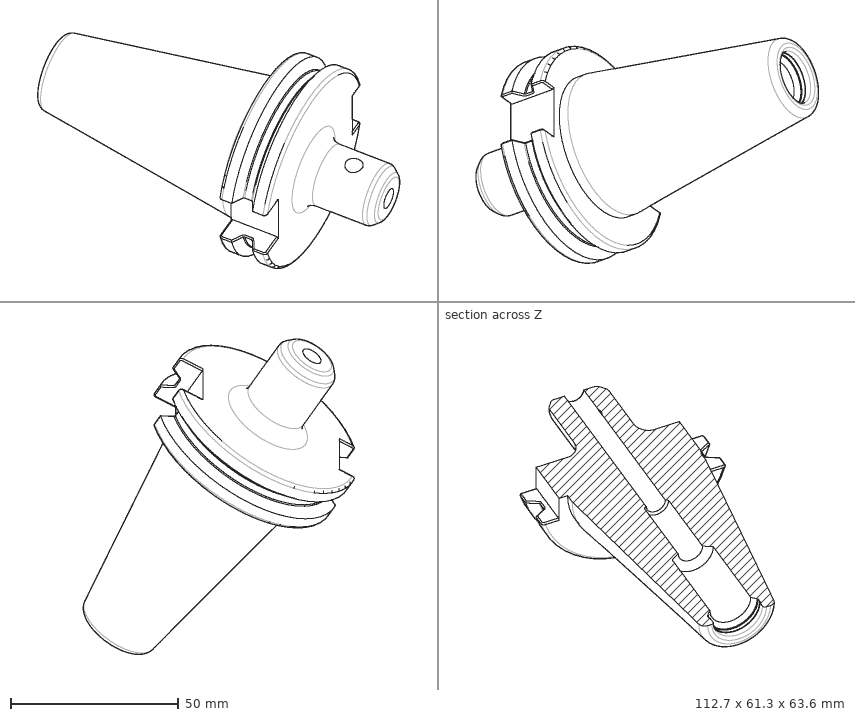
import cadquery as cq
import math

total_length = 112.7

gauge_diameter = 44.4
taper_length = 68.3
taper_rate = 7 / 24
nose_fillet = 2.1
small_radius = (gauge_diameter - taper_length * taper_rate) / 2

flange_diameter = 63.6
flange_front = 71.5
flange_back = 87.3
flange_fillet = 1.0
groove_center = 79.3
groove_mouth_width = 7.0
groove_depth = 3.6
groove_wall_angle = 30.0
groove_corner_fillet = 0.5

slot_width = 16.1
left_slot_floor = 25.0
right_slot_floor = 22.7
slot_edge_chamfer = 0.51

shank_diameter = 19.8
neck_fillet = 5.0
neck_end = 92.2
shank_cone_start = 109.8
shank_cone_end_radius = 7.5
shank_shoulder_fillet = 2.0
shank_end_fillet = 1.6

pilot_diameter = 16.3
mouth_fillet = 0.9
relief_diameter = 16.8
relief_start = 2.9
relief_end = 4.3
pilot_depth = 4.5
thread_diameter = 13.5
thread_start = 6.0
thread_depth = 31.5
passage_diameter = 8.0
passage_depth = 56.4
outlet_diameter = 6.3
drill_point_angle = 118.0

cross_hole_diameter = 5.4
cross_hole_x = 101.4
cross_hole_y = -0.8


def round_edges_at(body, radius, *stations):
    """Fillet the circular edges of a turned body at given (x, radius) stations."""
    for x, edge_radius in stations:
        tolerance = 0.02
        box = cq.selectors.BoxSelector(
            (x - tolerance, -edge_radius - tolerance, -edge_radius - tolerance),
            (x + tolerance, edge_radius + tolerance, edge_radius + tolerance),
            boundingbox=True,
        )
        body = body.edges(box).edges(cq.selectors.RadiusNthSelector(-1)).fillet(radius)
    return body


def revolve_about_x(profile):
    return profile.close().revolve(360, (0, 0, 0), (1, 0, 0))


def make_body():
    flange_radius = flange_diameter / 2
    shank_radius = shank_diameter / 2
    groove_radius = flange_radius - groove_depth
    mouth_half = groove_mouth_width / 2
    floor_half = mouth_half - groove_depth * math.tan(math.radians(groove_wall_angle))

    neck_length = neck_end - flange_back
    neck_center_r = shank_radius + neck_fillet
    neck_start_r = neck_center_r - math.sqrt(neck_fillet**2 - neck_length**2)
    half_sweep = math.asin(neck_length / neck_fillet) / 2
    neck_middle = (
        neck_end - neck_fillet * math.sin(half_sweep),
        neck_center_r - neck_fillet * math.cos(half_sweep),
    )

    body = revolve_about_x(
        cq.Workplane("XY")
        .lineTo(0, small_radius)
        .lineTo(taper_length, gauge_diameter / 2)
        .lineTo(flange_front, gauge_diameter / 2)
        .lineTo(flange_front, flange_radius)
        .lineTo(groove_center - mouth_half, flange_radius)
        .lineTo(groove_center - floor_half, groove_radius)
        .lineTo(groove_center + floor_half, groove_radius)
        .lineTo(groove_center + mouth_half, flange_radius)
        .lineTo(flange_back, flange_radius)
        .lineTo(flange_back, neck_start_r)
        .threePointArc(neck_middle, (neck_end, shank_radius))
        .lineTo(shank_cone_start, shank_radius)
        .lineTo(total_length, shank_cone_end_radius)
        .lineTo(total_length, 0)
    )
    body = round_edges_at(body, nose_fillet, (0, small_radius))
    body = round_edges_at(
        body, flange_fillet, (flange_front, flange_radius), (flange_back, flange_radius)
    )
    body = round_edges_at(
        body,
        groove_corner_fillet,
        (groove_center - floor_half, groove_radius),
        (groove_center + floor_half, groove_radius),
    )
    body = round_edges_at(body, shank_shoulder_fillet, (shank_cone_start, shank_radius))
    return round_edges_at(body, shank_end_fillet, (total_length, shank_cone_end_radius))


def make_bore():
    thread_radius = thread_diameter / 2
    passage_radius = passage_diameter / 2
    outlet_radius = outlet_diameter / 2
    mouth_inset = mouth_fillet * (1 - math.sqrt(0.5))
    mouth_middle = (mouth_inset, pilot_diameter / 2 + mouth_inset)
    point_slope = math.tan(math.radians(drill_point_angle / 2))
    thread_point_end = thread_depth + (thread_radius - passage_radius) / point_slope
    passage_point_end = passage_depth + (passage_radius - outlet_radius) / point_slope
    return revolve_about_x(
        cq.Workplane("XY")
        .lineTo(0, pilot_diameter / 2 + mouth_fillet)
        .threePointArc(mouth_middle, (mouth_fillet, pilot_diameter / 2))
        .lineTo(relief_start, pilot_diameter / 2)
        .lineTo(relief_start, relief_diameter / 2)
        .lineTo(relief_end, relief_diameter / 2)
        .lineTo(relief_end, pilot_diameter / 2)
        .lineTo(pilot_depth, pilot_diameter / 2)
        .lineTo(thread_start, thread_radius)
        .lineTo(thread_depth, thread_radius)
        .lineTo(thread_point_end, passage_radius)
        .lineTo(passage_depth, passage_radius)
        .lineTo(passage_point_end, outlet_radius)
        .lineTo(total_length, outlet_radius)
        .lineTo(total_length, 0)
    )


def cut_drive_slot(body, floor_y, side):
    """Cut a slot open towards side (+1 for +Y, -1 for -Y) and chamfer the rims of its two walls."""
    length = flange_back - flange_front
    depth = flange_diameter / 2 - floor_y
    middle = cq.Vector((flange_front + flange_back) / 2, side * (floor_y + depth / 2), 0)
    body = body.cut(cq.Workplane("XY").box(length, depth, slot_width).translate(middle))
    for wall_z in (-slot_width / 2, slot_width / 2):
        margin = 0.06
        floor_to_rim = sorted((side * (floor_y + margin), side * flange_diameter))
        wall_rims = cq.selectors.BoxSelector(
            (flange_front - margin, floor_to_rim[0], wall_z - margin),
            (flange_back + margin, floor_to_rim[1], wall_z + margin),
        )
        wall_plane_edges = cq.selectors.BoxSelector(
            (flange_front - margin, -flange_diameter, wall_z - margin),
            (flange_back + margin, flange_diameter, wall_z + margin),
            boundingbox=True,
        )
        body = body.edges(wall_rims).edges(wall_plane_edges).chamfer(slot_edge_chamfer)
    return body


def make_cross_hole():
    return (
        cq.Workplane("XY")
        .center(cross_hole_x, cross_hole_y)
        .circle(cross_hole_diameter / 2)
        .extrude(shank_diameter)
    )


result = make_body().cut(make_bore()).cut(make_cross_hole())
result = cut_drive_slot(result, left_slot_floor, 1)
result = cut_drive_slot(result, right_slot_floor, -1)